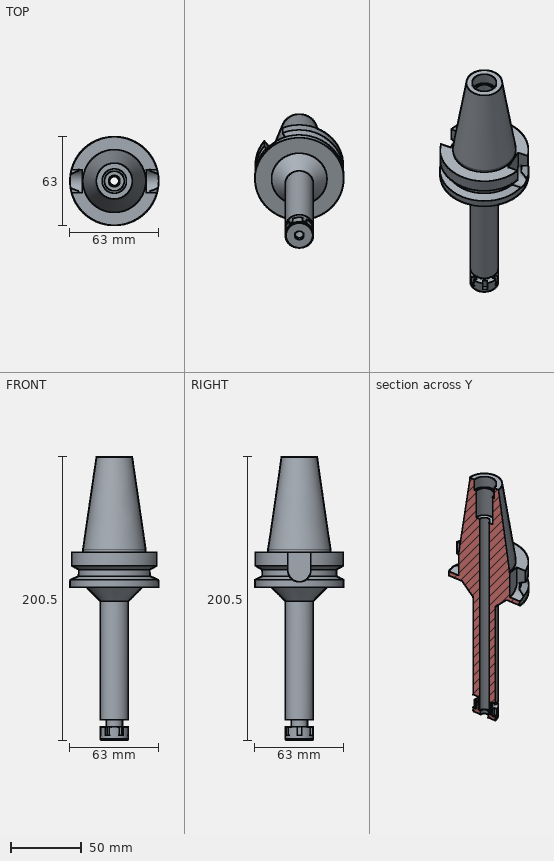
import cadquery as cq

total_height = 200.5
gauge_z = 135.0
flange_top_z = 133.0
flange_height = 25.0
flange_bottom_z = flange_top_z - flange_height
shank_bottom_z = 14.5

taper_ratio = 7 / 24
gauge_radius = 22.2
taper_top_radius = gauge_radius - (total_height - gauge_z) * taper_ratio / 2

flange_radius = 31.5
upper_rim_radius = 31.3
groove_radius = 26.5
upper_rim_z = flange_top_z - 9.6
groove_top_z = flange_top_z - 12.5
groove_bottom_z = flange_top_z - 17.0
lower_rim_z = flange_top_z - 19.6

drive_slot_width = 16.2
drive_slot_depth = 21.0
drive_slot_floor_x = 22.6

collar_radius = 19.6
shank_radius = 10.0
collar_bottom_z = flange_bottom_z - (collar_radius - shank_radius)
nose_radius = 5.8
nose_engagement = 6.0

counterbore_radius = 8.6
counterbore_depth = 9.0
thread_radius = 7.0
thread_depth = 32.0
through_radius = 4.0

nut_height = 9.5
nut_radius = shank_radius
nut_chamfer_height = 1.0
nut_chamfer_width = 0.6
nut_opening_radius = 3.2
wrench_slot_count = 6
wrench_slot_width = 3.2
wrench_slot_height = 6.0
wrench_slot_floor_radius = 7.5

nose_bottom_z = nut_height - nose_engagement


def cylinder(radius, bottom_z, top_z):
    return cq.Workplane("XY").workplane(offset=bottom_z).circle(radius).extrude(top_z - bottom_z)


def holder_blank():
    """Revolve the outer profile, from the nose up to the small end of the taper."""
    profile = [
        (0, nose_bottom_z),
        (nose_radius, nose_bottom_z),
        (nose_radius, shank_bottom_z),
        (shank_radius, shank_bottom_z),
        (shank_radius, collar_bottom_z),
        (collar_radius, flange_bottom_z),
        (flange_radius, flange_bottom_z),
        (flange_radius, lower_rim_z),
        (groove_radius, groove_bottom_z),
        (groove_radius, groove_top_z),
        (upper_rim_radius, upper_rim_z),
        (upper_rim_radius, flange_top_z),
        (gauge_radius, flange_top_z),
        (gauge_radius, gauge_z),
        (taper_top_radius, total_height),
        (0, total_height),
    ]
    return cq.Workplane("XZ").polyline(profile).close().revolve(360, (0, 0), (0, 1))


def drive_slot(side):
    """Round-bottomed cutter, open at the flange top; side is +1 or -1 along X."""
    half_width = drive_slot_width / 2
    arc_center_z = flange_top_z - drive_slot_depth + half_width
    outline = (
        cq.Workplane("YZ")
        .workplane(offset=side * drive_slot_floor_x)
        .moveTo(-half_width, flange_top_z)
        .lineTo(-half_width, arc_center_z)
        .threePointArc((0, arc_center_z - half_width), (half_width, arc_center_z))
        .lineTo(half_width, flange_top_z)
        .close()
    )
    return outline.extrude(side * flange_radius)


def make_holder():
    body = holder_blank()
    for side in (-1, 1):
        body = body.cut(drive_slot(side))
    body = body.cut(cylinder(counterbore_radius, total_height - counterbore_depth, total_height))
    body = body.cut(cylinder(thread_radius, total_height - thread_depth, total_height))
    return body.cut(cylinder(through_radius, nose_bottom_z, total_height))


def wrench_slot(angle):
    """Radial notch cutter, open at the top and the rim of the nut."""
    return (
        cq.Workplane("XY")
        .box(nut_radius, wrench_slot_width, wrench_slot_height, centered=(False, True, False))
        .translate((wrench_slot_floor_radius, 0, nut_height - wrench_slot_height))
        .rotate((0, 0, 0), (0, 0, 1), angle)
    )


def make_nut():
    profile = [
        (nut_opening_radius, 0),
        (nut_radius - nut_chamfer_width, 0),
        (nut_radius, nut_chamfer_height),
        (nut_radius, nut_height),
        (nose_radius, nut_height),
        (nose_radius, nose_bottom_z),
        (nut_opening_radius, nose_bottom_z),
    ]
    body = cq.Workplane("XZ").polyline(profile).close().revolve(360, (0, 0), (0, 1))
    for index in range(wrench_slot_count):
        body = body.cut(wrench_slot(index * 360 / wrench_slot_count))
    return body


holder = make_holder()
nut = make_nut()
result = cq.Compound.makeCompound([holder.val(), nut.val()])